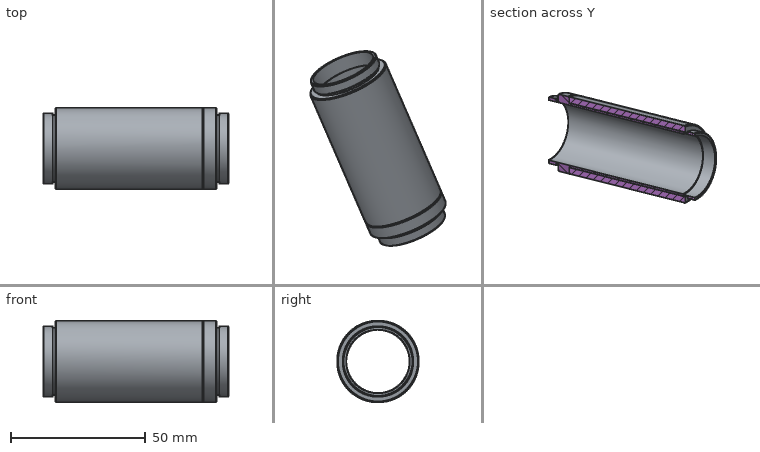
import cadquery as cq

total_length = 69.0
neck_length = 4.5
rim_length = 3.5
collar_length = 5.0
mouth_depth = 5.5

left_end = -total_length / 2
right_end = total_length / 2
housing_shoulder = left_end + neck_length
collar_outer_face = right_end - neck_length
joint_face = collar_outer_face - collar_length
sleeve_tip = left_end + mouth_depth

body_radius = 15.25
rim_radius = 13.2
neck_radius = 12.55
sleeve_radius = neck_radius
mouth_radius = 12.0
sleeve_bore_radius = 11.7

edge_chamfer = 0.4
collar_joint_chamfer = 0.2
housing_tip_chamfer = 0.3


def cylinder(start, end, radius):
    """Solid cylinder on the X axis between two X positions."""
    return cq.Workplane("YZ").workplane(offset=start).circle(radius).extrude(end - start)


def make_housing():
    """Outer tube with a stepped left end and a bore that takes the sleeve."""
    rim = cylinder(left_end, left_end + rim_length, rim_radius)
    rim = rim.faces("<X").chamfer(housing_tip_chamfer)
    neck = cylinder(left_end + rim_length, housing_shoulder, neck_radius)
    body = cylinder(housing_shoulder, joint_face, body_radius)
    body = body.faces("<X or >X").chamfer(edge_chamfer)
    mouth = cylinder(left_end, sleeve_tip, mouth_radius)
    sleeve_seat = cylinder(sleeve_tip, joint_face, sleeve_radius)
    return rim.union(neck).union(body).cut(mouth).cut(sleeve_seat)


def make_sleeve():
    """Inner tube with a wide collar and a raised rim at its right end."""
    tube = cylinder(sleeve_tip, right_end - rim_length, sleeve_radius)
    collar = cylinder(joint_face, collar_outer_face, body_radius)
    collar = collar.faces("<X").chamfer(collar_joint_chamfer)
    collar = collar.faces(">X").chamfer(edge_chamfer)
    rim = cylinder(right_end - rim_length, right_end, rim_radius)
    rim = rim.faces(">X").chamfer(edge_chamfer)
    bore = cylinder(sleeve_tip, right_end, sleeve_bore_radius)
    return tube.union(collar).union(rim).cut(bore)


housing = make_housing()
sleeve = make_sleeve()
result = cq.Compound.makeCompound([housing.val(), sleeve.val()])